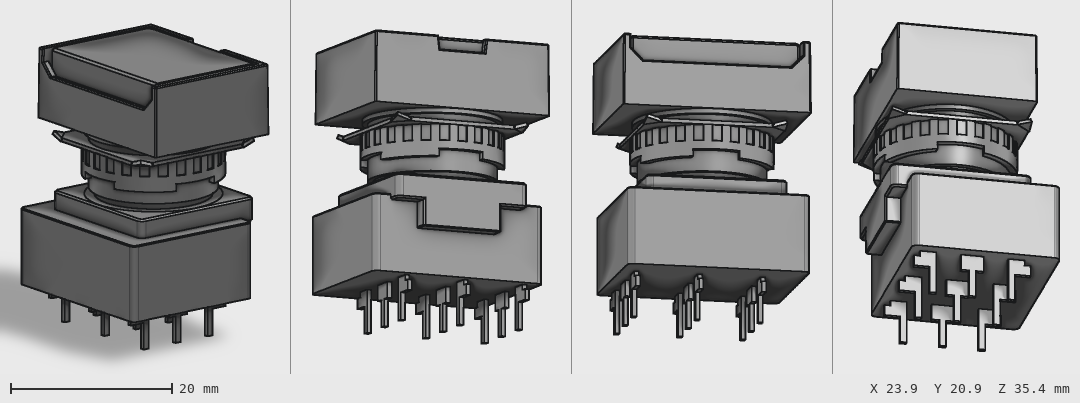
import cadquery as cq
import math

BASE_BOTTOM = 5.45
BASE_TOP = 15.25
PLATE_BOTTOM = 14.5
PLATE_TOP = 17.65
BARREL_STEP = 18.55
RING_BOTTOM = 20.3
WASHER_BOTTOM = 24.3
WASHER_TOP = 24.78
COLLAR_BOTTOM = 25.77
BEZEL_BOTTOM = 26.37
TOP = 35.4

BEZEL_WIDTH = 23.9
BEZEL_HALF_X = BEZEL_WIDTH / 2
BEZEL_HALF_Y = 8.95
BEZEL_DRAFT = 0.5
BEZEL_EDGE = 0.18
CAVITY_HALF_X = 10.95
CAVITY_HALF_Y = 8.0
CAVITY_FLOOR = 29.03
WINDOW_SILL = 32.1
WINDOW_SHOULDER = 33.65
WINDOW_SILL_HALF = 9.38
WINDOW_HALF = CAVITY_HALF_X
NOTCH_HALF_TOP = 3.25
NOTCH_HALF_FLOOR = 3.05
NOTCH_FLOOR = WINDOW_SHOULDER
COLLAR_RADIUS = 8.7
BARREL_RADIUS = 8.07
FOOT_RADIUS = 7.35
FLANGE_RADIUS = 8.6
FLANGE_THICKNESS = 0.92

BUTTON_HALF_X = 10.75
BUTTON_HALF_Y = 7.82
BUTTON_EDGE = 0.32

RING_RADIUS = 8.95
SLOT_COUNT = 24
SLOT_WIDTH = 1.2
SLOT_DEPTH = 0.25
SLOT_BOTTOM = 22.25
KEYWAY_HALF = 2.97
KEYWAY_TOP = 21.2
WASHER_FLAT_HALF = 8.92
WASHER_HALF = 9.03
BEND_DISTANCE = 11.4
BEND_ANGLE = 25.0

BASE_X = (-BEZEL_HALF_X, 11.2)
BASE_Y = (-11.9, 6.97)
BLOCK_CORNER = 0.8
BASE_EDGE = 0.15
PLATE_HALF = 8.95
PLATE_EDGE = 0.25
LATCH_HALF_X = 5.3
LATCH_BOTTOM = 11.2
LATCH_EDGE = 0.25

PIN_X = (-10.0, -1.95, 6.05)
PIN_THICKNESS = 0.55
PIN_CENTER_Y = -1.03
LUG_TOP = 4.78
LUG_BOTTOM = 3.45
MIDDLE_LEG_HALF = 0.42
MIDDLE_LUG_HALF = 1.4
OUTER_INSIDE = 4.6
OUTER_LEG = 5.4
OUTER_NECK = 6.65
OUTER_LUG = 7.45


def block(x_range, y_range, z_range):
    """Box between the given limits."""
    size = [high - low for low, high in (x_range, y_range, z_range)]
    return cq.Workplane("XY").box(*size, centered=False).translate((x_range[0], y_range[0], z_range[0]))


def centered_block(half_x, half_y, bottom, top):
    """Box centred on the Z axis."""
    return block((-half_x, half_x), (-half_y, half_y), (bottom, top))


def disc(radius, bottom, top):
    """Cylinder on the Z axis."""
    return cq.Workplane("XY").workplane(offset=bottom).circle(radius).extrude(top - bottom)


def make_bezel():
    """Drafted frame with a cavity for the button, a front window and a rear notch."""
    shell = (
        cq.Workplane("XY").workplane(offset=BEZEL_BOTTOM)
        .rect(2 * BEZEL_HALF_X, 2 * BEZEL_HALF_Y)
        .extrude(TOP - BEZEL_BOTTOM, taper=BEZEL_DRAFT)
    )
    shell = shell.cut(centered_block(CAVITY_HALF_X, CAVITY_HALF_Y, CAVITY_FLOOR, TOP))

    window = (
        cq.Workplane("XZ")
        .polyline([
            (-WINDOW_HALF, TOP), (-WINDOW_HALF, WINDOW_SHOULDER), (-WINDOW_SILL_HALF, WINDOW_SILL),
            (WINDOW_SILL_HALF, WINDOW_SILL), (WINDOW_HALF, WINDOW_SHOULDER), (WINDOW_HALF, TOP),
        ])
        .close().extrude(BEZEL_HALF_Y)
        .intersect(block((-BEZEL_HALF_X, BEZEL_HALF_X), (-BEZEL_HALF_Y, -CAVITY_HALF_Y), (0, TOP)))
    )
    notch = (
        cq.Workplane("XZ", origin=(0, BEZEL_HALF_Y, 0))
        .polyline([
            (-NOTCH_HALF_TOP, TOP), (-NOTCH_HALF_FLOOR, NOTCH_FLOOR),
            (NOTCH_HALF_FLOOR, NOTCH_FLOOR), (NOTCH_HALF_TOP, TOP),
        ])
        .close().extrude(BEZEL_HALF_Y - CAVITY_HALF_Y)
    )
    return shell.cut(window).cut(notch)


def box_selector(x_range, y_range, z_range):
    """Selector for the edges whose centres lie between the given limits."""
    low, high = zip(x_range, y_range, z_range)
    return cq.selectors.BoxSelector(low, high)


def chamfer_bezel(bezel):
    """Break the outer edges of the bezel and the inner edges of the two sills."""
    margin = 0.42
    across = (-2 * BEZEL_HALF_X, 2 * BEZEL_HALF_X)
    depth = (-2 * BEZEL_HALF_Y, 2 * BEZEL_HALF_Y)
    above_bottom = (BEZEL_BOTTOM + margin, TOP + margin)
    rim = (TOP - margin, TOP + margin)
    inner_x = BEZEL_HALF_X - margin
    inner_y = BEZEL_HALF_Y - margin

    front = box_selector(across, (depth[0], -inner_y), above_bottom)
    rear = box_selector(across, (inner_y, depth[1]), above_bottom)
    left = box_selector((across[0], -inner_x), depth, rim)
    right = box_selector((inner_x, across[1]), depth, rim)
    outer_edges = front + rear + left + right

    near_center = (-margin, margin)
    window_sill = box_selector(near_center, (-inner_y, 0), (WINDOW_SILL - margin, WINDOW_SILL + margin))
    notch_sill = box_selector(near_center, (0, inner_y), (NOTCH_FLOOR - margin, NOTCH_FLOOR + margin))
    return bezel.edges(outer_edges + window_sill + notch_sill).chamfer(BEZEL_EDGE)


def make_housing():
    housing = chamfer_bezel(make_bezel())
    housing = housing.union(disc(COLLAR_RADIUS, COLLAR_BOTTOM, BEZEL_BOTTOM))
    housing = housing.union(disc(BARREL_RADIUS, BARREL_STEP, COLLAR_BOTTOM))
    housing = housing.union(disc(FOOT_RADIUS, PLATE_TOP, BARREL_STEP))
    return housing.union(disc(FLANGE_RADIUS, PLATE_TOP - FLANGE_THICKNESS, PLATE_TOP))


def make_button():
    button = centered_block(BUTTON_HALF_X, BUTTON_HALF_Y, CAVITY_FLOOR, TOP)
    return button.edges("|Z").chamfer(BUTTON_EDGE).faces(">Z").edges().chamfer(BUTTON_EDGE)


def make_washer():
    """Square plate whose four corners are bent upwards."""
    square = centered_block(WASHER_HALF, WASHER_HALF, WASHER_BOTTOM, WASHER_TOP)
    bend_cut = centered_block(BEND_DISTANCE, BEND_DISTANCE, WASHER_BOTTOM, WASHER_TOP)
    bend_cut = bend_cut.rotate((0, 0, 0), (0, 0, 1), 45)
    flat = centered_block(WASHER_FLAT_HALF, WASHER_FLAT_HALF, WASHER_BOTTOM, WASHER_TOP)
    plate = flat.intersect(bend_cut)
    corner = square.cut(bend_cut).intersect(block((0, WASHER_HALF), (0, WASHER_HALF), (0, TOP)))
    bend_point = BEND_DISTANCE / math.sqrt(2)
    tab = corner.rotate(
        (bend_point, bend_point, WASHER_BOTTOM),
        (bend_point + 0.35, bend_point - 0.35, WASHER_BOTTOM),
        BEND_ANGLE,
    )
    for quarter in range(4):
        plate = plate.union(tab.rotate((0, 0, 0), (0, 0, 1), 90 * quarter))
    return plate


def make_lock_ring():
    ring = disc(RING_RADIUS, RING_BOTTOM, WASHER_BOTTOM)
    slot = block(
        (RING_RADIUS - SLOT_DEPTH, RING_RADIUS + SLOT_DEPTH),
        (-SLOT_WIDTH / 2, SLOT_WIDTH / 2),
        (SLOT_BOTTOM, WASHER_BOTTOM),
    )
    for index in range(SLOT_COUNT):
        ring = ring.cut(slot.rotate((0, 0, 0), (0, 0, 1), index * 360 / SLOT_COUNT))
    ring = ring.cut(centered_block(KEYWAY_HALF, RING_RADIUS, RING_BOTTOM, KEYWAY_TOP))
    ring = ring.cut(centered_block(RING_RADIUS, KEYWAY_HALF, RING_BOTTOM, KEYWAY_TOP))
    return ring.union(make_washer()).cut(disc(BARREL_RADIUS, RING_BOTTOM, TOP))


def make_pin(profile, x):
    """Flat terminal cut from sheet lying in a YZ plane; the profile holds (y, z) points."""
    return (
        cq.Workplane("YZ", origin=(x - PIN_THICKNESS / 2, 0, 0))
        .polyline(profile).close().extrude(PIN_THICKNESS)
    )


def pin_profiles():
    """Outlines of the middle terminal and of the two mirrored outer ones."""
    middle_steps = [
        (MIDDLE_LEG_HALF, 0), (MIDDLE_LEG_HALF, LUG_BOTTOM),
        (MIDDLE_LUG_HALF, LUG_BOTTOM), (MIDDLE_LUG_HALF, BASE_BOTTOM),
    ]
    middle = [(PIN_CENTER_Y + half, z) for half, z in middle_steps]
    middle += [(PIN_CENTER_Y - half, z) for half, z in reversed(middle_steps)]
    outer_steps = [
        (OUTER_INSIDE, 0), (OUTER_LEG, 0), (OUTER_LEG, LUG_BOTTOM), (OUTER_LUG, LUG_BOTTOM),
        (OUTER_LUG, LUG_TOP), (OUTER_NECK, LUG_TOP), (OUTER_NECK, BASE_BOTTOM), (OUTER_INSIDE, BASE_BOTTOM),
    ]
    outer = [[(PIN_CENTER_Y + side * y, z) for y, z in outer_steps] for side in (1, -1)]
    return [middle] + outer


def make_contact_block():
    base = block(BASE_X, BASE_Y, (BASE_BOTTOM, BASE_TOP))
    base = base.edges("|Z").fillet(BLOCK_CORNER).faces(">Z").edges().chamfer(BASE_EDGE)

    plate = centered_block(PLATE_HALF, PLATE_HALF, PLATE_BOTTOM, PLATE_TOP)
    plate = plate.edges("|Z").fillet(BLOCK_CORNER).faces("<Z or >Z").edges().chamfer(PLATE_EDGE)

    latch = block((-LATCH_HALF_X, LATCH_HALF_X), (0, PLATE_HALF), (LATCH_BOTTOM, PLATE_BOTTOM + PLATE_EDGE))
    latch = latch.edges("|Z and >Y").chamfer(LATCH_EDGE).faces("<Z").edges().chamfer(BASE_EDGE)

    contact_block = base.union(plate).union(latch)
    for x in PIN_X:
        for profile in pin_profiles():
            contact_block = contact_block.union(make_pin(profile, x))
    return contact_block.cut(disc(FLANGE_RADIUS, PLATE_TOP - FLANGE_THICKNESS, PLATE_TOP))


housing = make_housing()
button = make_button()
lock_ring = make_lock_ring()
contact_block = make_contact_block()

result = cq.Compound.makeCompound([housing.val(), button.val(), lock_ring.val(), contact_block.val()])